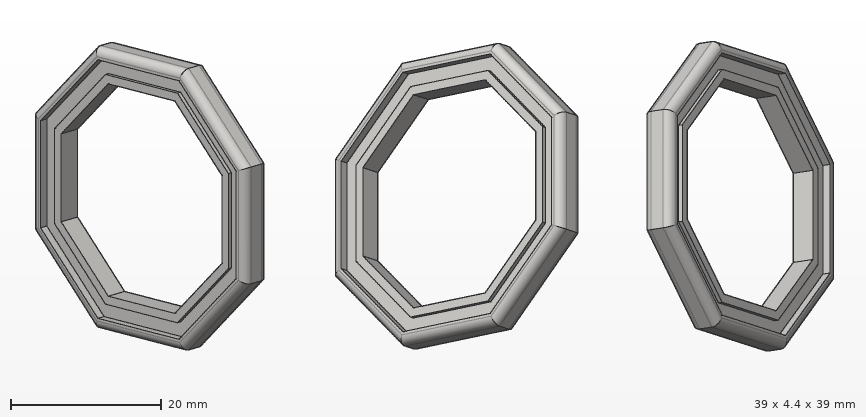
import cadquery as cq
import math

width_across_flats = 38.99
thickness = 4.4
edge_radius = 1.2

groove_outer_inset = 1.6
groove_inner_inset = 3.6
opening_inset = 4.8

groove_depth = 1.2
rim_depth = 0.6

sides = 8


def octagon_prism(inset, length):
    """Octagonal prism along Y, centred on the origin, with its flats inset from the outer ones."""
    across_flats = width_across_flats - 2 * inset
    across_corners = across_flats / math.cos(math.pi / sides)
    return (
        cq.Workplane("XZ")
        .transformed(rotate=(0, 0, 180 / sides))
        .polygon(sides, across_corners)
        .extrude(length / 2, both=True)
    )


def rounded_body():
    """Full-thickness octagon with the outer edges of both end faces rounded."""
    return octagon_prism(0, thickness).faces("<Y or >Y").edges().fillet(edge_radius)


def octagon_ring(outer_inset, inner_inset, length):
    """Octagonal ring between two insets, centred on the middle plane."""
    return octagon_prism(outer_inset, length).cut(octagon_prism(inner_inset, length))


lip = rounded_body().cut(octagon_prism(groove_outer_inset, thickness))
web = octagon_ring(groove_outer_inset, groove_inner_inset, thickness - 2 * groove_depth)
rim = octagon_ring(groove_inner_inset, opening_inset, thickness - 2 * rim_depth)

result = lip.union(web).union(rim)